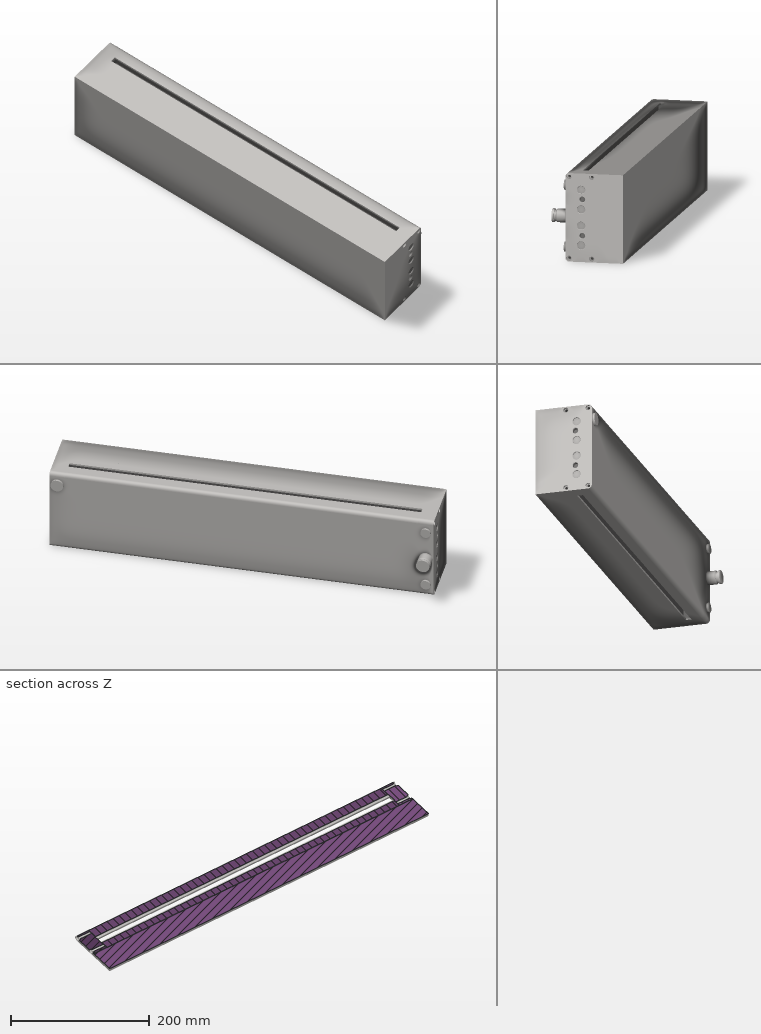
import cadquery as cq

LENGTH = 568.0
HEIGHT = 130.0
TOTAL_DEPTH = 106.0

PAD_DEPTH = 40.5
HOUSING_REAR = 85.0
CAP_LENGTH = 23.5
REAR_EDGE_RADIUS = 5.5

SLOT_OPENING = 8.5
SLOT_CENTER_Y = 60.0
SLOT_LIP = 3.0
SLOT_INNER_WIDTH = 15.5
SLOT_DEPTH = 16.0

SCREW_INSET_Y = 5.5
SCREW_INSET_Z = 5.0
SCREW_HEAD_DIAMETER = 7.5
SCREW_HEAD_DEPTH = 3.0
SCREW_HOLE_DIAMETER = 4.0
PORT_DIAMETER = 12.5
PORT_DEPTH = 1.5
PORT_Y = 62.0
PORT_OFFSETS_Z = (12.0, 41.0)
MOUNT_HOLE_DIAMETER = 9.0
MOUNT_HOLE_DEPTH = 5.5
MOUNT_HOLE_Y = 60.0
MOUNT_HOLE_OFFSET_Z = 26.5
MOUTH_CHAMFER = 0.5

PLUG_HEIGHT = 3.5
PLUG_OFFSET_Z = 45.5
SMALL_PLUG_DIAMETER = 15.0
LARGE_PLUG_DIAMETER = 19.0
CONNECTOR_DIAMETER = 20.0
CONNECTOR_GROOVE_DIAMETER = 17.0
CONNECTOR_BODY_HEIGHT = 15.0
CONNECTOR_RIM = 3.5
CONNECTOR_CHAMFER = 1.0

HALF_LENGTH = LENGTH / 2
HALF_HEIGHT = HEIGHT / 2
HOUSING_DEPTH = HOUSING_REAR - PAD_DEPTH
PROFILE_LENGTH = LENGTH - 2 * CAP_LENGTH
CAP_CENTER_X = HALF_LENGTH - CAP_LENGTH / 2
CONNECTOR_HEIGHT = TOTAL_DEPTH - HOUSING_REAR


def housing_section(length):
    """Bar of the housing cross-section, centred on X, with rounded rear edges."""
    bar = cq.Workplane("XY").box(length, HOUSING_DEPTH, HEIGHT)
    bar = bar.edges("|X and >Y").fillet(REAR_EDGE_RADIUS)
    return bar.translate((0, PAD_DEPTH + HOUSING_DEPTH / 2, 0))


def rear_cylinder(x, z, diameter, height, start=HOUSING_REAR):
    """Cylinder along +Y that starts at the given Y."""
    axis_start = cq.Vector(x, start, z)
    return cq.Workplane(cq.Solid.makeCylinder(diameter / 2, height, axis_start, cq.Vector(0, 1, 0)))


def end_hole(side, y, z, diameter, depth):
    """Cutter for a hole running inward from the end face; side is -1 or +1 along X."""
    mouth = cq.Vector(side * HALF_LENGTH, y, z)
    return cq.Workplane(cq.Solid.makeCylinder(diameter / 2, depth, mouth, cq.Vector(-side, 0, 0)))


def chamfered_end_hole(side, y, z, mouth_diameter, depth):
    """Cutter for an end-face hole whose mouth is chamfered down to the bore."""
    mouth_radius = mouth_diameter / 2
    bore_radius = mouth_radius - MOUTH_CHAMFER
    mouth = cq.Vector(side * HALF_LENGTH, y, z)
    inward = cq.Vector(-side, 0, 0)
    cone = cq.Workplane(cq.Solid.makeCone(mouth_radius, bore_radius, MOUTH_CHAMFER, mouth, inward))
    return cone.union(end_hole(side, y, z, 2 * bore_radius, depth))


def make_pad():
    """Plain block covering the whole front."""
    return cq.Workplane("XY").box(LENGTH, PAD_DEPTH, HEIGHT).translate((0, PAD_DEPTH / 2, 0))


def make_profile():
    """Middle bar with a T-slot along its top and bottom."""
    profile = housing_section(PROFILE_LENGTH)
    inner_height = SLOT_DEPTH - SLOT_LIP
    opening = cq.Workplane("XY").box(PROFILE_LENGTH, SLOT_OPENING, SLOT_DEPTH)
    inner = cq.Workplane("XY").box(PROFILE_LENGTH, SLOT_INNER_WIDTH, inner_height)
    for side in (-1, 1):
        opening_z = side * (HALF_HEIGHT - SLOT_DEPTH / 2)
        inner_z = side * (HALF_HEIGHT - SLOT_LIP - inner_height / 2)
        profile = profile.cut(opening.translate((0, SLOT_CENTER_Y, opening_z)))
        profile = profile.cut(inner.translate((0, SLOT_CENTER_Y, inner_z)))
    return profile


def make_cap(side):
    """End cap without rear fittings; side is -1 for the left end, +1 for the right."""
    cap = housing_section(CAP_LENGTH).translate((side * CAP_CENTER_X, 0, 0))
    screw_z = HALF_HEIGHT - SCREW_INSET_Z
    for up in (-1, 1):
        for y in (PAD_DEPTH + SCREW_INSET_Y, HOUSING_REAR - SCREW_INSET_Y):
            cap = cap.cut(end_hole(side, y, up * screw_z, SCREW_HEAD_DIAMETER, SCREW_HEAD_DEPTH))
            cap = cap.cut(end_hole(side, y, up * screw_z, SCREW_HOLE_DIAMETER, CAP_LENGTH))
        for offset in PORT_OFFSETS_Z:
            cap = cap.cut(chamfered_end_hole(side, PORT_Y, up * offset, PORT_DIAMETER, PORT_DEPTH))
        mount_z = up * MOUNT_HOLE_OFFSET_Z
        mount_hole = chamfered_end_hole(side, MOUNT_HOLE_Y, mount_z, MOUNT_HOLE_DIAMETER, MOUNT_HOLE_DEPTH)
        cap = cap.cut(mount_hole)
    return cap


def make_connector():
    """Round connector: chamfered body, grooved neck and rim."""
    x = -CAP_CENTER_X
    body = rear_cylinder(x, 0, CONNECTOR_DIAMETER, CONNECTOR_BODY_HEIGHT)
    body = body.faces("<Y or >Y").edges().chamfer(CONNECTOR_CHAMFER)
    neck = rear_cylinder(x, 0, CONNECTOR_GROOVE_DIAMETER, CONNECTOR_HEIGHT)
    rim = rear_cylinder(x, 0, CONNECTOR_DIAMETER, CONNECTOR_RIM, TOTAL_DEPTH - CONNECTOR_RIM)
    return body.union(neck).union(rim)


def make_left_cap():
    """Left cap carrying the connector and a small plug above and below it."""
    cap = make_cap(-1).union(make_connector())
    for up in (-1, 1):
        plug = rear_cylinder(-CAP_CENTER_X, up * PLUG_OFFSET_Z, SMALL_PLUG_DIAMETER, PLUG_HEIGHT)
        cap = cap.union(plug)
    return cap


def make_right_cap():
    """Right cap carrying one large plug near its top."""
    plug = rear_cylinder(CAP_CENTER_X, PLUG_OFFSET_Z, LARGE_PLUG_DIAMETER, PLUG_HEIGHT)
    return make_cap(1).union(plug)


pad = make_pad()
profile = make_profile()
left_cap = make_left_cap()
right_cap = make_right_cap()

result = cq.Compound.makeCompound([pad.val(), profile.val(), left_cap.val(), right_cap.val()])